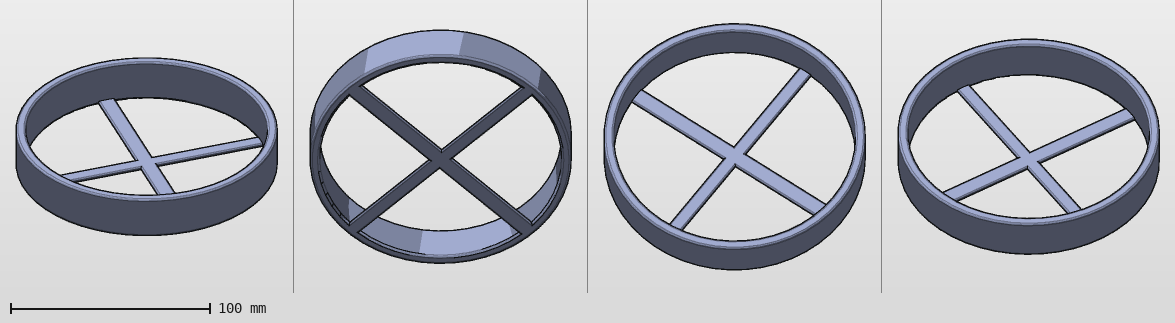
import cadquery as cq
outer_diameter = 131.0
inner_diameter = 121.0
ring_height = 22.0
top_rim_radius = 1.0
bottom_rim_radius = 1.2

spoke_x_width = 8.5
spoke_y_width = 7.1
spoke_thickness = 2.0
spoke_edge_radius = 0.75

spoke_length = (outer_diameter + inner_diameter) / 2


def make_ring():
    """Round wall with every rim edge rounded."""
    ring = cq.Workplane("XY").circle(outer_diameter / 2).circle(inner_diameter / 2).extrude(ring_height)
    ring = ring.faces(">Z").edges().fillet(top_rim_radius)
    return ring.faces("<Z").edges().fillet(bottom_rim_radius)


def make_spoke(length_x, length_y, long_edges):
    """Flat bar centred on the ring axis, with its long edges rounded."""
    bar = cq.Workplane("XY").box(length_x, length_y, spoke_thickness, centered=(True, True, False))
    return bar.edges(long_edges).fillet(spoke_edge_radius)


spoke_along_x = make_spoke(spoke_length, spoke_x_width, "|X")
spoke_along_y = make_spoke(spoke_y_width, spoke_length, "|Y")

result = make_ring().union(spoke_along_x).union(spoke_along_y)